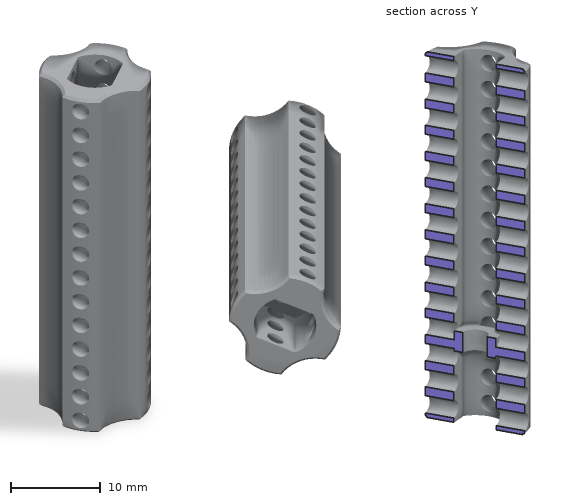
import cadquery as cq
import math

length = 43.75
body_diameter = 12.5
lobe_half_width = 2.2
lobe_count = 4
flute_radius = 4.6
end_chamfer = 0.3

socket_diameter = 7.0
socket_flat_width = 5.2
web_bottom = 8.55
web_top = 11.0
web_hole_diameter = 3.0

holes_per_row = 14
radial_hole_diameter = 2.0
hole_end_on_flats = socket_flat_width / 2
hole_end_on_arcs = 2.8

body_radius = body_diameter / 2
hole_pitch = length / holes_per_row


def fluted_body():
    """Round bar with four concave flutes on the diagonals and both ends chamfered."""
    lobe_edge = math.sqrt(body_radius**2 - lobe_half_width**2)
    half_chord = (lobe_edge - lobe_half_width) / math.sqrt(2)
    chord_distance = (lobe_edge + lobe_half_width) / math.sqrt(2)
    flute_distance = chord_distance + math.sqrt(flute_radius**2 - half_chord**2)
    flutes = (
        cq.Workplane("XY")
        .polarArray(flute_distance, 180 / lobe_count, 360, lobe_count)
        .circle(flute_radius)
        .extrude(length)
    )
    bar = cq.Workplane("XY").circle(body_radius).extrude(length)
    return bar.cut(flutes).faces("<Z or >Z").chamfer(end_chamfer)


def socket(bottom, top):
    """Double-D cavity with its two flats facing along X."""
    depth = top - bottom
    base = cq.Workplane("XY").workplane(offset=bottom)
    cylinder = base.circle(socket_diameter / 2).extrude(depth)
    slab = base.rect(socket_flat_width, socket_diameter).extrude(depth)
    return cylinder.intersect(slab)


def hole_row(angle, inner_end):
    """Row of blind holes drilled in from one lobe, stopping at inner_end from the axis."""
    centers = [(0, hole_pitch * (index + 0.5)) for index in range(holes_per_row)]
    row = (
        cq.Workplane("YZ")
        .workplane(offset=inner_end)
        .pushPoints(centers)
        .circle(radial_hole_diameter / 2)
        .extrude(body_radius - inner_end)
    )
    return row.rotate((0, 0, 0), (0, 0, 1), angle)


result = fluted_body()

web_hole = cq.Workplane("XY").circle(web_hole_diameter / 2).extrude(length)
result = result.cut(socket(0, web_bottom)).cut(socket(web_top, length)).cut(web_hole)

for angle in (0, 180):
    result = result.cut(hole_row(angle, hole_end_on_flats))

for angle in (90, 270):
    result = result.cut(hole_row(angle, hole_end_on_arcs))